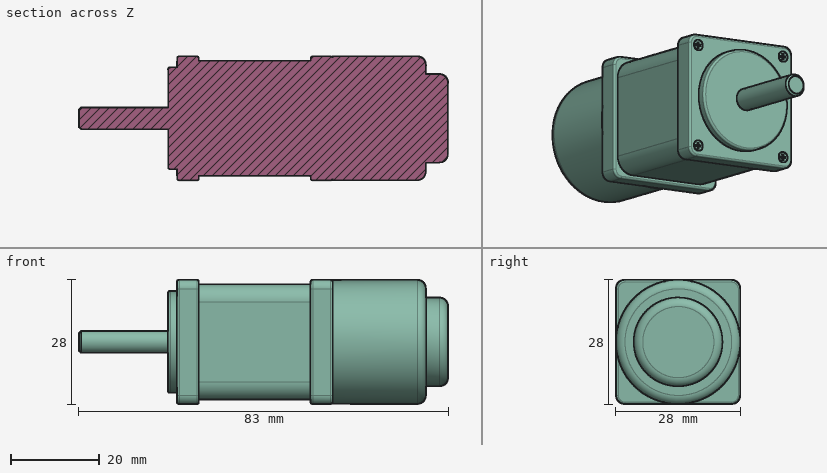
import cadquery as cq


total_length = 83.0
shaft_length = 20.0
boss_length = 2.0
flange_length = 5.0
motor_length = 21.0
cap_length = 5.0
gearbox_length = total_length - (
    shaft_length + boss_length + 2 * flange_length + motor_length + cap_length
)

flange_width = 28.0
gearbox_width = 26.0
motor_diameter = flange_width
boss_diameter = 23.0
shaft_diameter = 5.0
cap_diameter = 20.0

flange_corner_radius = 2.0
gearbox_corner_radius = 4.0
motor_end_radius = 2.0
small_edge = 0.5

screw_offset = 11.5
screw_diameter = 2.4
screw_sink = 0.1
cross_length = 1.3
cross_width = 0.3
cross_depth = 0.5

boss_x = shaft_length
front_flange_x = boss_x + boss_length
gearbox_x = front_flange_x + flange_length
rear_flange_x = gearbox_x + gearbox_length
motor_x = rear_flange_x + flange_length
cap_x = motor_x + motor_length


def cylinder(start_x, length, diameter):
    return cq.Workplane("YZ", origin=(start_x, 0, 0)).circle(diameter / 2).extrude(length)


def rounded_bar(start_x, length, width, corner_radius):
    bar = cq.Workplane("YZ", origin=(start_x, 0, 0)).rect(width, width).extrude(length)
    return bar.edges("|X").fillet(corner_radius)


def flange(start_x):
    plate = rounded_bar(start_x, flange_length, flange_width, flange_corner_radius)
    return plate.faces("<X or >X").edges().fillet(small_edge)


def screw_recesses():
    """Shallow round seats above the screw heads, with the cross slots cut into the heads."""
    face = cq.Workplane("YZ", origin=(front_flange_x, 0, 0))
    spots = face.rect(2 * screw_offset, 2 * screw_offset, forConstruction=True).vertices()
    seats = spots.circle(screw_diameter / 2).extrude(screw_sink)
    flat_slots = spots.rect(cross_length, cross_width).extrude(screw_sink + cross_depth)
    upright_slots = spots.rect(cross_width, cross_length).extrude(screw_sink + cross_depth)
    return seats.union(flat_slots).union(upright_slots)


shaft = cylinder(0, shaft_length, shaft_diameter).faces("<X").chamfer(small_edge)
boss = cylinder(boss_x, boss_length, boss_diameter).faces("<X").edges().fillet(small_edge)
front_flange = flange(front_flange_x).cut(screw_recesses())
gearbox = rounded_bar(gearbox_x, gearbox_length, gearbox_width, gearbox_corner_radius)
rear_flange = flange(rear_flange_x)
motor = cylinder(motor_x, motor_length, motor_diameter).faces(">X").edges().fillet(motor_end_radius)
cap = cylinder(cap_x, cap_length, cap_diameter).faces(">X").edges().fillet(motor_end_radius)

result = shaft
for section in (boss, front_flange, gearbox, rear_flange, motor, cap):
    result = result.union(section)